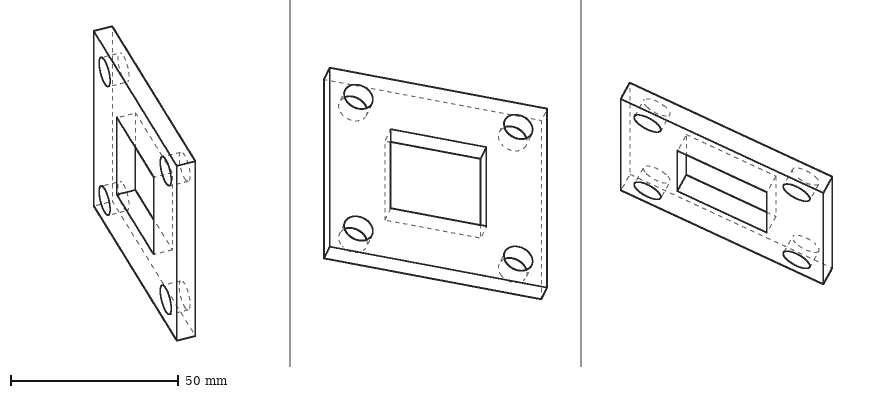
import cadquery as cq

plate_side = 68.0
plate_thickness = 6.0
window_side = 30.0
hole_diameter = 9.0
hole_spacing = 50.0

plate = cq.Workplane("XY").box(plate_side, plate_thickness, plate_side)

plate = plate.faces("<Y").workplane(centerOption="CenterOfBoundBox").rect(window_side, window_side).cutThruAll()

result = (
    plate.faces("<Y")
    .workplane(centerOption="CenterOfBoundBox")
    .rect(hole_spacing, hole_spacing, forConstruction=True)
    .vertices()
    .hole(hole_diameter)
)